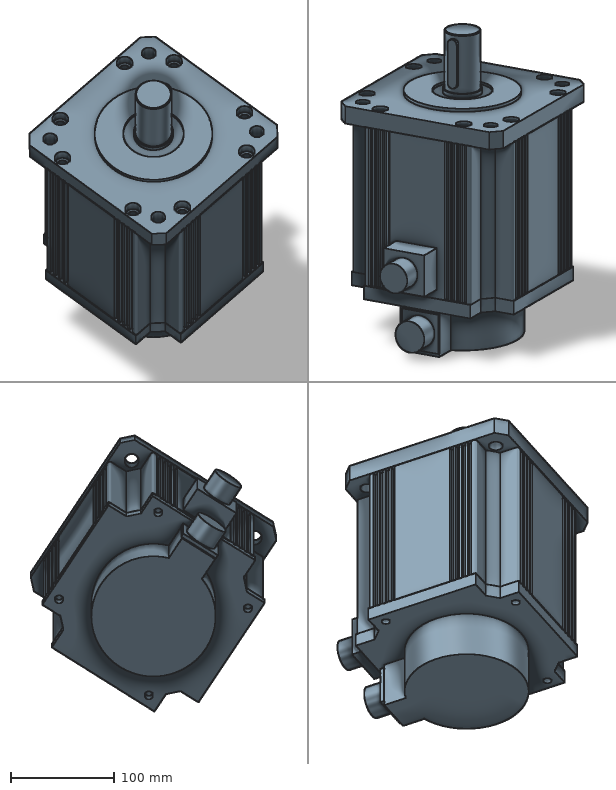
import cadquery as cq
import math


COVER_TOP = 49.0
END_PLATE_TOP = 62.8
HOUSING_TOP = 225.0
FLANGE_TOP = 243.0
PILOT_TOP = 246.5
COLLAR_TOP = 248.2
SHAFT_TOP = 308.0

FLANGE_HALF = 90.0
FLANGE_CHAMFER = 10.2
PILOT_RADIUS = 57.0
RECESS_RADIUS = 29.3
RECESS_DEPTH = 2.5
RECESS_FLOOR = PILOT_TOP - RECESS_DEPTH
MOUNTING_HOLE_OFFSET = 70.8
MOUNTING_HOLE_DIAMETER = 13.5

SCREW_CIRCLE_RADIUS = 92.5
SCREW_ANGLE_FROM_AXIS = 30.0
SCREW_HEAD_DIAMETER = 15.5
SCREW_HEAD_DEPTH = 10.0
SCREW_HOLE_DIAMETER = 9.5

TIE_CIRCLE_RADIUS = 91.5
TIE_HOLE_DIAMETER = 8.0

END_PLATE_HALF = 90.0
HOUSING_HALF = 89.3
NOTCH_WALL = 59.0
NOTCH_INNER = 69.3
HOUSING_CORNER_RADIUS = 2.8

CENTRE_FLAT_HALF = 30.5
GROOVE_WIDTH = 4.0
GROOVE_PITCH = 6.5
GROOVE_COUNT = 4
GROOVE_DEPTH = 3.5
INNER_GROOVE_DEPTH = 5.0

COVER_RADIUS = 60.0
COVER_BLOCK_WIDTH = 38.2
COVER_BLOCK_END = 80.5

SHAFT_RADIUS = 17.5
SHAFT_CHAMFER = 1.0
COLLAR_RADIUS = 19.0
KEY_WIDTH = 10.0
KEY_BOTTOM_Z = 253.5
KEY_TOP_Z = 303.7
KEY_OUTER_Y = 20.5
KEY_DEPTH = 8.0

POWER_X = 1.0
POWER_Z = 93.3
POWER_BOX_WIDTH = 45.0
POWER_BOX_HEIGHT = 42.5
POWER_BOX_END = 114.5
POWER_PLUG_RADIUS = 15.0
POWER_PLUG_END = 135.0

ENCODER_Z = COVER_TOP / 2
ENCODER_PLATE_SIZE = 40.0
ENCODER_PLATE_END = 84.0
ENCODER_PLUG_RADIUS = 16.0
ENCODER_PLUG_END = 104.5


Z_AXIS = ((0, 0, 0), (0, 0, 1))


def horizontal_plane(z):
    return cq.Workplane("XY", origin=(0, 0, z))


def y_facing_plane(x, y, z):
    """Workplane whose extrusions run along +Y; local x is X and local y is -Z."""
    return cq.Workplane(cq.Plane(origin=(x, y, z), xDir=(1, 0, 0), normal=(0, 1, 0)))


def quarter_turn_points(radius, first_angle):
    """Four points a quarter turn apart on a circle about the axis."""
    angles = [math.radians(first_angle + 90 * quarter) for quarter in range(4)]
    return [(radius * math.cos(a), radius * math.sin(a)) for a in angles]


def drill_tie_holes(body):
    """Run the four tie screw holes down through the whole body."""
    points = quarter_turn_points(TIE_CIRCLE_RADIUS, 90 - SCREW_ANGLE_FROM_AXIS)
    holes = horizontal_plane(COVER_TOP).pushPoints(points).circle(TIE_HOLE_DIAMETER / 2)
    return body.cut(holes.extrude(HOUSING_TOP - COVER_TOP))


def notched_square(half, bottom, top, round_notch):
    """Prism of a square with notched corners; each notch floor is a flat or an arc about the axis."""
    middle = math.hypot(NOTCH_WALL, NOTCH_INNER) / math.sqrt(2)
    notch = horizontal_plane(bottom).moveTo(half, half)
    notch = notch.lineTo(half, NOTCH_WALL).lineTo(NOTCH_INNER, NOTCH_WALL)
    if round_notch:
        notch = notch.threePointArc((middle, middle), (NOTCH_WALL, NOTCH_INNER))
    else:
        notch = notch.lineTo(NOTCH_WALL, NOTCH_INNER)
    notch = notch.lineTo(NOTCH_WALL, half).close().extrude(top - bottom)
    body = horizontal_plane(bottom).rect(2 * half, 2 * half).extrude(top - bottom)
    for quarter in range(4):
        body = body.cut(notch.rotate(*Z_AXIS, 90 * quarter))
    return body


def make_flange():
    thickness = FLANGE_TOP - HOUSING_TOP
    side = 2 * FLANGE_HALF
    flange = horizontal_plane(HOUSING_TOP).rect(side, side).extrude(thickness)
    flange = flange.edges("|Z").chamfer(FLANGE_CHAMFER)

    flange = flange.union(horizontal_plane(FLANGE_TOP).circle(PILOT_RADIUS).extrude(PILOT_TOP - FLANGE_TOP))
    recess = horizontal_plane(RECESS_FLOOR).circle(RECESS_RADIUS)
    flange = flange.cut(recess.extrude(PILOT_TOP - RECESS_FLOOR))

    spacing = 2 * MOUNTING_HOLE_OFFSET
    corners = horizontal_plane(HOUSING_TOP).rect(spacing, spacing, forConstruction=True).vertices()
    flange = flange.cut(corners.circle(MOUNTING_HOLE_DIAMETER / 2).extrude(thickness))

    for angle in (SCREW_ANGLE_FROM_AXIS, 90 - SCREW_ANGLE_FROM_AXIS):
        screws = horizontal_plane(FLANGE_TOP).pushPoints(quarter_turn_points(SCREW_CIRCLE_RADIUS, angle))
        flange = flange.cut(screws.circle(SCREW_HEAD_DIAMETER / 2).extrude(-SCREW_HEAD_DEPTH))
        flange = flange.cut(screws.circle(SCREW_HOLE_DIAMETER / 2).extrude(-thickness))
    return flange


def groove_profile(index):
    """Section of one groove on the +X half of the -Y face, counted outward from the centre flat."""
    face = -HOUSING_HALF
    inner = CENTRE_FLAT_HALF + index * GROOVE_PITCH
    outer = inner + GROOVE_WIDTH
    outer_depth = INNER_GROOVE_DEPTH if index == 0 else GROOVE_DEPTH
    return [(inner, face), (outer, face), (outer, face + outer_depth), (inner, face + GROOVE_DEPTH)]


def make_housing():
    length = HOUSING_TOP - END_PLATE_TOP
    housing = notched_square(HOUSING_HALF, END_PLATE_TOP, HOUSING_TOP, round_notch=True)

    housing = housing.edges("(|Z) and (>X or <X or >Y or <Y)").fillet(HOUSING_CORNER_RADIUS)

    for index in range(GROOVE_COUNT):
        right_groove = horizontal_plane(END_PLATE_TOP).polyline(groove_profile(index)).close().extrude(length)
        for groove in (right_groove, right_groove.mirror("YZ")):
            for quarter in range(4):
                housing = housing.cut(groove.rotate(*Z_AXIS, 90 * quarter))
    return drill_tie_holes(housing)


def make_end_plate():
    return drill_tie_holes(notched_square(END_PLATE_HALF, COVER_TOP, END_PLATE_TOP, round_notch=False))


def make_cover():
    cover = horizontal_plane(0).circle(COVER_RADIUS).extrude(COVER_TOP)
    block = horizontal_plane(0).center(0, COVER_BLOCK_END / 2).rect(COVER_BLOCK_WIDTH, COVER_BLOCK_END)
    return cover.union(block.extrude(COVER_TOP))


def make_key():
    length = KEY_TOP_Z - KEY_BOTTOM_Z
    middle_z = (KEY_TOP_Z + KEY_BOTTOM_Z) / 2
    base = y_facing_plane(0, KEY_OUTER_Y - KEY_DEPTH, middle_z)
    return base.slot2D(length, KEY_WIDTH, 90).extrude(KEY_DEPTH)


def make_shaft(key):
    shaft = horizontal_plane(RECESS_FLOOR).circle(SHAFT_RADIUS).extrude(SHAFT_TOP - RECESS_FLOOR)
    shaft = shaft.faces(">Z").chamfer(SHAFT_CHAMFER)
    collar = horizontal_plane(RECESS_FLOOR).circle(COLLAR_RADIUS).extrude(COLLAR_TOP - RECESS_FLOOR)
    return shaft.union(collar).cut(key)


def make_connector(x, z, base_y, base_size, base_end, plug_radius, plug_end):
    """Rectangular base with a round plug, pointing along +Y."""
    base = y_facing_plane(x, base_y, z).rect(*base_size).extrude(base_end - base_y)
    plug = y_facing_plane(x, base_end, z).circle(plug_radius).extrude(plug_end - base_end)
    return base.union(plug)


flange = make_flange()
housing = make_housing()
end_plate = make_end_plate()
cover = make_cover()
key = make_key()
shaft = make_shaft(key)
power_connector = make_connector(
    POWER_X,
    POWER_Z,
    HOUSING_HALF,
    (POWER_BOX_WIDTH, POWER_BOX_HEIGHT),
    POWER_BOX_END,
    POWER_PLUG_RADIUS,
    POWER_PLUG_END,
)
encoder_connector = make_connector(
    0,
    ENCODER_Z,
    COVER_BLOCK_END,
    (ENCODER_PLATE_SIZE, ENCODER_PLATE_SIZE),
    ENCODER_PLATE_END,
    ENCODER_PLUG_RADIUS,
    ENCODER_PLUG_END,
)

bodies = [flange, housing, end_plate, cover, shaft, key, power_connector, encoder_connector]
result = cq.Compound.makeCompound([body.solids().val() for body in bodies])